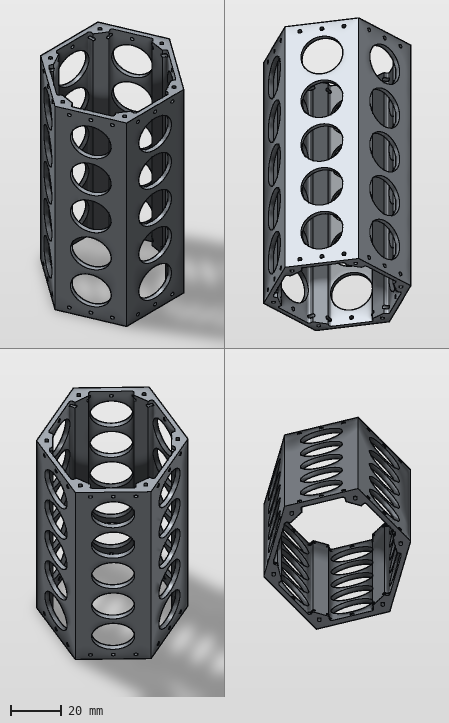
import cadquery as cq
import math

side_count = 6
side_angle = 360 / side_count
height = 110
across_flats = 52.0
face_distance = across_flats / 2
wall = 2.0
wall_distance = face_distance - wall
half_turn = side_angle / 2

post_distance = 23.5
recess_width = 18.0
recess_fillet = 1.0

screw_diameter = 1.5
post_screw_distance = 26.0

side_screw_spacing = recess_width / 2
side_screw_inset = 3.0
side_screw_columns = 3
side_screw_rows = 2
side_drill_depth = 5.5

window_diameter = 17.0
window_pitch = 20.0
window_count = 5


def hexagon(flat_distance, turn):
    """Full-height hexagonal prism on the Z axis, given the distance from the axis to a flat."""
    corner_diameter = 2 * flat_distance / math.cos(math.pi / side_count)
    prism = cq.Workplane("XY").polygon(side_count, corner_diameter).extrude(height / 2, both=True)
    return prism.rotate((0, 0, 0), (0, 0, 1), turn)


def around(tool, first_angle=0):
    """Copy a tool, placed on the +X side, to all six sides or corners."""
    copies = cq.Workplane("XY")
    for index in range(side_count):
        angle = first_angle + index * side_angle
        copies = copies.add(tool.rotate((0, 0, 0), (0, 0, 1), angle))
    return copies.combine()


def recess():
    """Slab from the axis to the inner face of one wall, with filleted outer edges."""
    slab = cq.Workplane("XY").box(wall_distance, recess_width, height, centered=(False, True, True))
    return slab.edges("|Z and >X").fillet(recess_fillet)


def post_hole():
    """Lengthwise hole at one corner."""
    hole = cq.Workplane("XY").center(post_screw_distance, 0).circle(screw_diameter / 2)
    return hole.extrude(height / 2, both=True)


def side_openings():
    """Windows and end screw holes of one side, drilled inward from its outer face."""
    windows = cq.Workplane("YZ", origin=(face_distance, 0, 0))
    windows = windows.rarray(1.1, window_pitch, 1, window_count)
    windows = windows.circle(window_diameter / 2).extrude(-side_drill_depth)
    row_spacing = height - 2 * side_screw_inset
    screws = cq.Workplane("YZ", origin=(face_distance, 0, 0))
    screws = screws.rarray(side_screw_spacing, row_spacing, side_screw_columns, side_screw_rows)
    screws = screws.circle(screw_diameter / 2).extrude(-side_drill_depth)
    return windows.union(screws)


outside = hexagon(face_distance, half_turn)
bore = hexagon(wall_distance, half_turn).intersect(hexagon(post_distance, 0))

result = (
    outside.cut(bore)
    .cut(around(recess()))
    .cut(around(post_hole(), half_turn))
    .cut(around(side_openings()))
)